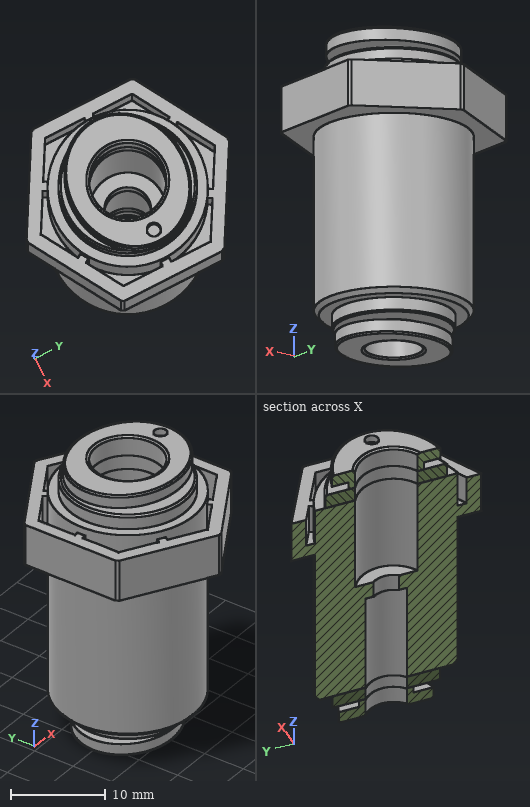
import cadquery as cq
import math

TOTAL_HEIGHT = 33.85
FLANGE_THICKNESS = 1.52
GUIDE_BOTTOM = 2.27
BARREL_BOTTOM = 3.83
HEX_BOTTOM = 23.7
HEX_TOP = 28.8
BARREL_TOP = 29.72
CAP_TOP = 31.45

BARREL_DIAMETER = 17.0
BARREL_CHAMFER = 0.55

HEX_ACROSS_FLATS = 21.0
HEX_ACROSS_CORNERS = 24.0
RIM_ACROSS_FLATS = 18.0
RIB_WIDTH = 1.0
POCKET_DEPTH = 3.5

CAP_DIAMETER = 14.7
CAP_CHAMFER = 0.25
GUIDE_DIAMETER = 13.15
GUIDE_CHAMFER = 0.17

UPPER_FLANGE_SIZE = (15.03, 13.0)
LOWER_FLANGE_SIZE = (13.0, 11.5)
UPPER_NECK_DIAMETER = 9.6
LOWER_NECK_DIAMETER = 7.5
NECK_FILLET = 0.1
FLANGE_CHAMFER = 0.2
BORE_CHAMFER_HEIGHT = 0.17
BORE_CHAMFER_WIDTH = 0.3
MARK_DIAMETER = 1.5
MARK_OFFSET = 6.0
MARK_DEPTH = 0.88

UPPER_BORE = 8.2
LOWER_BORE = 6.2
PASSAGE_DIAMETER = 5.0
WEB_THICKNESS = 2.03
WEB_MIDDLE = TOTAL_HEIGHT / 2


def disc(diameter, bottom, top):
    """Round disc on the fitting axis between two heights."""
    return cq.Workplane("XY", origin=(0, 0, bottom)).circle(diameter / 2).extrude(top - bottom)


def hexagon(across_flats, bottom, top):
    """Hexagonal prism with two of its flats square to X."""
    across_corners = across_flats / math.cos(math.pi / 6)
    prism = cq.Workplane("XY").polygon(6, across_corners).extrude(top - bottom)
    return prism.rotate((0, 0, 0), (0, 0, 1), 30).translate((0, 0, bottom))


def make_hex_head():
    """Hexagon with corners turned down, and pockets between its rim, its ribs and the barrel."""
    head = hexagon(HEX_ACROSS_FLATS, HEX_BOTTOM, HEX_TOP)
    head = head.intersect(disc(HEX_ACROSS_CORNERS, HEX_BOTTOM, HEX_TOP))

    pocket = hexagon(RIM_ACROSS_FLATS, HEX_TOP - POCKET_DEPTH, HEX_TOP)
    for index in range(3):
        rib = cq.Workplane("XY").box(HEX_ACROSS_FLATS, RIB_WIDTH, 2 * TOTAL_HEIGHT)
        pocket = pocket.cut(rib.rotate((0, 0, 0), (0, 0, 1), 60 * index))
    return head.cut(pocket)


def make_barrel():
    """Plain barrel and its hexagonal head, bored from both ends to a central web."""
    barrel = disc(BARREL_DIAMETER, BARREL_BOTTOM, BARREL_TOP).faces("<Z").chamfer(BARREL_CHAMFER)
    barrel = barrel.union(make_hex_head())
    barrel = barrel.cut(disc(UPPER_BORE, WEB_MIDDLE + WEB_THICKNESS / 2, BARREL_TOP))
    barrel = barrel.cut(disc(LOWER_BORE, BARREL_BOTTOM, WEB_MIDDLE - WEB_THICKNESS / 2))
    return barrel.cut(disc(PASSAGE_DIAMETER, BARREL_BOTTOM, BARREL_TOP))


def make_cap():
    """Collar on the upper end of the barrel."""
    cap = disc(CAP_DIAMETER, BARREL_TOP, CAP_TOP).faces(">Z").chamfer(CAP_CHAMFER)
    return cap.cut(disc(UPPER_BORE, BARREL_TOP, CAP_TOP))


def make_guide():
    """Collar on the lower end of the barrel."""
    guide = disc(GUIDE_DIAMETER, GUIDE_BOTTOM, BARREL_BOTTOM).faces("<Z").chamfer(GUIDE_CHAMFER)
    return guide.cut(disc(LOWER_BORE, GUIDE_BOTTOM, BARREL_BOTTOM))


def make_sleeve(flange_size, neck_diameter, bore_diameter, height):
    """Release sleeve standing on its neck at Z = 0, with its flange on top."""
    size_x, size_y = flange_size
    flange = (
        cq.Workplane("XY", origin=(0, 0, height - FLANGE_THICKNESS))
        .ellipse(size_x / 2, size_y / 2)
        .extrude(FLANGE_THICKNESS)
        .faces(">Z")
        .chamfer(FLANGE_CHAMFER)
    )
    sleeve = flange.union(disc(neck_diameter, 0, height)).cut(disc(bore_diameter, 0, height))
    return sleeve.faces(">Z").edges("%CIRCLE").chamfer(BORE_CHAMFER_WIDTH, BORE_CHAMFER_HEIGHT)


def make_upper_sleeve():
    """Sleeve on the cap, filleted under its flange and with a round marking recess on top."""
    sleeve = make_sleeve(UPPER_FLANGE_SIZE, UPPER_NECK_DIAMETER, UPPER_BORE, TOTAL_HEIGHT - CAP_TOP)
    underside = sleeve.faces("|Z").faces("<Z[1]")
    sleeve = underside.edges("%CIRCLE").fillet(NECK_FILLET).translate((0, 0, CAP_TOP))
    mark = disc(MARK_DIAMETER, TOTAL_HEIGHT - MARK_DEPTH, TOTAL_HEIGHT).translate((MARK_OFFSET, 0, 0))
    return sleeve.cut(mark)


def make_lower_sleeve():
    """Smaller sleeve under the guide, with its flange downward."""
    sleeve = make_sleeve(LOWER_FLANGE_SIZE, LOWER_NECK_DIAMETER, LOWER_BORE, GUIDE_BOTTOM)
    return sleeve.rotate((0, 0, 0), (1, 0, 0), 180).translate((0, 0, GUIDE_BOTTOM))


barrel = make_barrel()
cap = make_cap()
guide = make_guide()
upper_sleeve = make_upper_sleeve()
lower_sleeve = make_lower_sleeve()

result = cq.Compound.makeCompound(
    [barrel.val(), cap.val(), guide.val(), upper_sleeve.val(), lower_sleeve.val()]
)